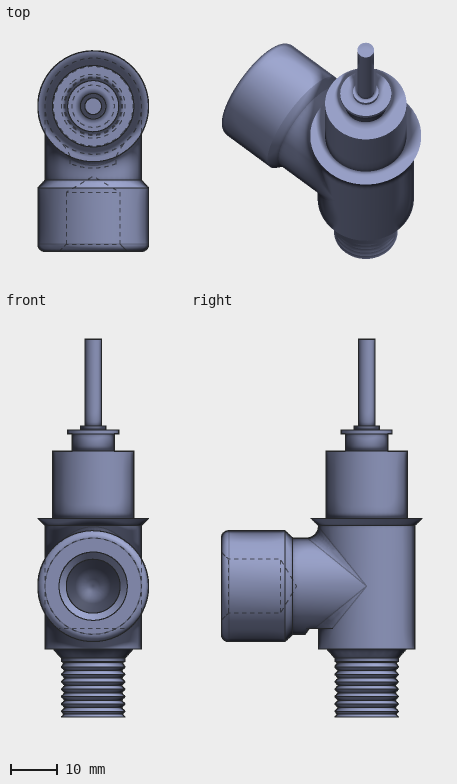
import cadquery as cq

total_height = 81.28

thread_crest_radius = 6.86
thread_root_radius = 6.10
thread_runout_radius = 6.30
thread_pitch = 1.5875
first_crest_z = 1.24
crest_count = 7
rim_bottom_z = 12.0
last_root_z = 11.7
thread_top_z = 12.7

shoulder_radius = 8.55
body_bottom_z = 14.6

body_radius = 10.36
body_top_z = 41.2
flange_radius = 11.94
flange_top_z = 42.75

bonnet_radius = 8.76
bonnet_top_z = 57.2
neck_radius = 4.55
neck_top_z = 60.9
collar_radius = 5.5
collar_top_z = 61.75
bush_radius = 2.75
bush_top_z = 62.6
stem_radius = 1.8

branch_z = 28.15
branch_radius = body_radius
socket_radius = flange_radius
branch_neck_end = 15.9
socket_start = 17.6
branch_end = 31.24
socket_edge_radius = 1.6
crotch_fillet_radius = 2.4

bore_radius = 5.8
mouth_radius = 7.35
mouth_chamfer = mouth_radius - bore_radius
bore_depth = 12.7
drill_point_depth = 3.5

relief_radius = 13.3
relief_top_z = 19.05


def vertical_body():
    """Turned profile of the thread, shoulder and body, revolved about Z."""
    profile = cq.Workplane("XZ").lineTo(thread_crest_radius, 0)
    profile = profile.lineTo(thread_runout_radius, first_crest_z / 2)
    for index in range(crest_count):
        crest_z = first_crest_z + index * thread_pitch
        profile = profile.lineTo(thread_crest_radius, crest_z)
        if index < crest_count - 1:
            profile = profile.lineTo(thread_root_radius, crest_z + thread_pitch / 2)
    profile = (
        profile.lineTo(thread_runout_radius, last_root_z)
        .lineTo(thread_crest_radius, rim_bottom_z)
        .lineTo(thread_crest_radius, thread_top_z)
        .lineTo(shoulder_radius, body_bottom_z)
        .lineTo(body_radius, body_bottom_z)
        .lineTo(body_radius, body_top_z)
        .lineTo(0, body_top_z)
        .close()
    )
    return profile.revolve(360, (0, 0, 0), (0, 1, 0))


def disc(radius, bottom_z, top_z):
    """Upright cylinder on the body axis."""
    return cq.Workplane("XY", origin=(0, 0, bottom_z)).circle(radius).extrude(top_z - bottom_z)


def flange():
    """Flange that flares from the body to its full radius."""
    return (
        cq.Workplane("XZ")
        .moveTo(0, body_top_z)
        .lineTo(body_radius, body_top_z)
        .lineTo(flange_radius, flange_top_z)
        .lineTo(0, flange_top_z)
        .close()
        .revolve(360, (0, 0, 0), (0, 1, 0))
    )


def bonnet_and_stem():
    """Stack of concentric cylinders from the flange to the top of the stem."""
    steps = [
        (bonnet_radius, bonnet_top_z),
        (neck_radius, neck_top_z),
        (collar_radius, collar_top_z),
        (bush_radius, bush_top_z),
        (stem_radius, total_height),
    ]
    stack = cq.Workplane("XY")
    bottom_z = flange_top_z
    for radius, top_z in steps:
        stack = stack.union(disc(radius, bottom_z, top_z))
        bottom_z = top_z
    return stack


def branch_neck():
    """Plain cylinder from the body axis to the socket."""
    return cq.Workplane("XZ", origin=(0, 0, branch_z)).circle(branch_radius).extrude(branch_neck_end)


def revolve_about_branch(profile):
    """Revolve a profile drawn with x as radius and -y as distance along the branch."""
    return profile.close().revolve(360, (0, 0, 0), (0, 1, 0)).translate((0, 0, branch_z))


def socket():
    """Larger end of the branch, tapered at the back and rounded at the mouth."""
    profile = (
        cq.Workplane("XY")
        .moveTo(0, -branch_neck_end)
        .lineTo(branch_radius, -branch_neck_end)
        .lineTo(socket_radius, -socket_start)
        .lineTo(socket_radius, -(branch_end - socket_edge_radius))
        .radiusArc((socket_radius - socket_edge_radius, -branch_end), socket_edge_radius)
        .lineTo(0, -branch_end)
    )
    return revolve_about_branch(profile)


def socket_bore():
    """Blind bore with a chamfered mouth and a conical bottom."""
    bore_end = branch_end - bore_depth
    profile = (
        cq.Workplane("XY")
        .moveTo(0, -branch_end)
        .lineTo(mouth_radius, -branch_end)
        .lineTo(bore_radius, -(branch_end - mouth_chamfer))
        .lineTo(bore_radius, -bore_end)
        .lineTo(0, -(bore_end - drill_point_depth))
    )
    return revolve_about_branch(profile)


def body_relief():
    """Ring that clears the underside of the branch around the lower body."""
    ring = disc(relief_radius, body_bottom_z, relief_top_z)
    return ring.cut(disc(body_radius, body_bottom_z, relief_top_z))


def filleted_tee():
    """Body and branch neck, filleted along the ellipses where they meet."""
    tee = vertical_body().union(branch_neck())
    return tee.edges("%ELLIPSE").fillet(crotch_fillet_radius)


result = (
    filleted_tee()
    .union(flange())
    .union(bonnet_and_stem())
    .union(socket())
    .cut(socket_bore())
    .cut(body_relief())
)